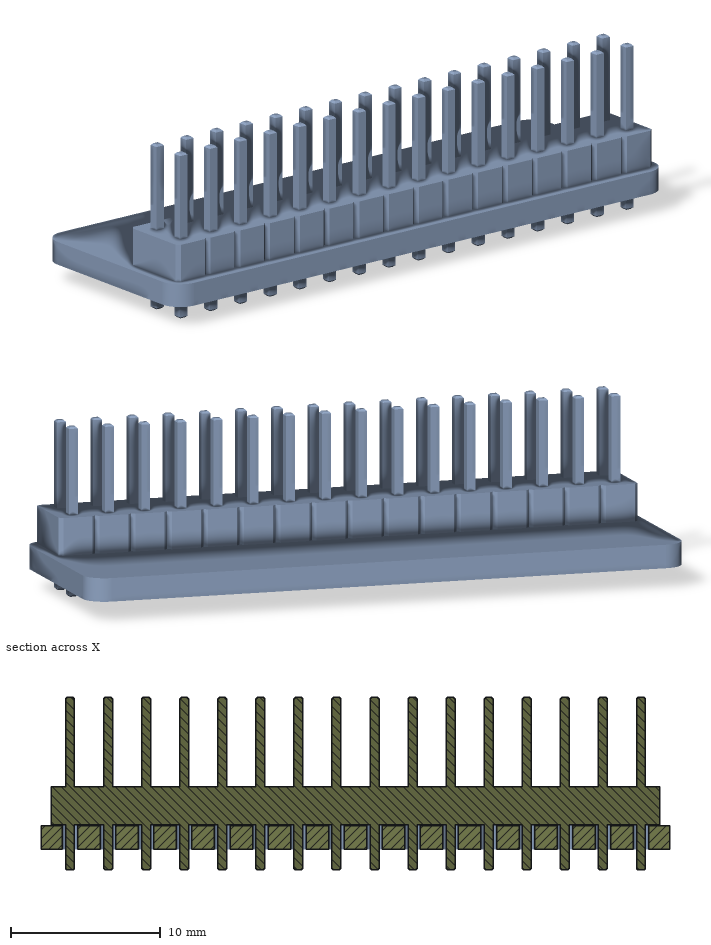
import cadquery as cq

board_width = 14.25
board_length = 42.0
board_thickness = 1.6
board_corner_radius = 1.5
pin_hole_diameter = 1.0

row_count = 16
column_count = 2
header_length = 40.65
pitch = header_length / row_count
header_width = column_count * pitch
header_height = 2.55
header_edge_gap = 0.67
cell_chamfer = 0.25
header_center_x = board_width / 2 - header_edge_gap - header_width / 2
header_lift = 0.05
header_bottom = board_thickness + header_lift

pin_side = 0.65
pin_length = 11.55
pin_tail = 1.4
pin_bevel = 0.13


def centered_positions(count, center):
    """Coordinates of `count` places one pitch apart, spread evenly about `center`."""
    return [center + (i - (count - 1) / 2) * pitch for i in range(count)]


column_positions = centered_positions(column_count, header_center_x)
row_positions = centered_positions(row_count, 0)
pin_positions = [(x, y) for x in column_positions for y in row_positions]


def make_board():
    """Rounded plate with a round clearance hole for every pin."""
    plate = (
        cq.Workplane("XY")
        .rect(board_width, board_length)
        .extrude(board_thickness)
        .edges("|Z")
        .fillet(board_corner_radius)
    )
    holes = (
        cq.Workplane("XY")
        .pushPoints(pin_positions)
        .circle(pin_hole_diameter / 2)
        .extrude(board_thickness)
    )
    return plate.cut(holes)


def make_insulator():
    """Row of chamfered cells, which leave a V notch between neighbours."""
    side_x = header_width / 2
    notch_x = side_x - cell_chamfer
    half_cell = pitch / 2
    right_side = [(notch_x, -header_length / 2)]
    for y in row_positions:
        right_side.append((side_x, y - half_cell + cell_chamfer))
        right_side.append((side_x, y + half_cell - cell_chamfer))
        right_side.append((notch_x, y + half_cell))
    left_side = [(-x, y) for x, y in reversed(right_side)]
    return (
        cq.Workplane("XY", origin=(header_center_x, 0, header_bottom))
        .polyline(right_side + left_side)
        .close()
        .extrude(header_height)
    )


def make_pin(x, y):
    """Square pin with all edges of both ends bevelled."""
    return (
        cq.Workplane("XY", origin=(x, y, -pin_tail))
        .rect(pin_side, pin_side)
        .extrude(pin_length)
        .faces("<Z or >Z")
        .edges()
        .chamfer(pin_bevel)
    )


def make_header():
    """Insulator and its pins as one solid."""
    header = make_insulator()
    for x, y in pin_positions:
        header = header.union(make_pin(x, y))
    return header


board = make_board()
header = make_header()
result = cq.Compound.makeCompound([board.solids().val(), header.solids().val()])